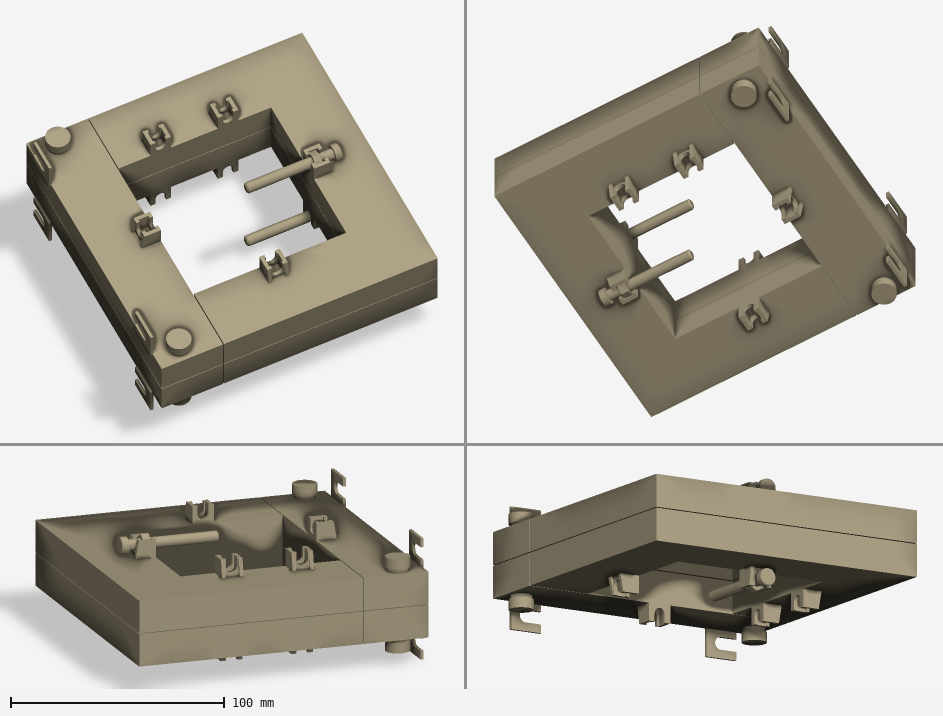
import cadquery as cq
import math

ring_side = 144.0
leg_width = 32.0
ring_height = 32.0
parting_gap = 0.5
outer = ring_side / 2
window = outer - leg_width
half_height = ring_height / 2
half_bottom = parting_gap / 2

clip_height = 8.7
clip_side_wall = 1.9
clip_inner_wall = 1.7
clip_outer_wall = 1.7
clip_pocket_depth = 5.1
clip_depth = clip_inner_wall + clip_pocket_depth + clip_outer_wall
clip_foot_depth = 10.2
wide_pocket = 8.1
narrow_pocket = 7.0
side_clip_offset = 17.5
slot_width = 5.5
slot_axis_height = 4.6

screw_diameter = 5.4
screw_axis_height = 5.5
screw_head_diameter = 8.4
screw_head_length = 3.5
screw_head_end = 56.0
screw_tip = 7.1
head_chamfer = 0.5
tip_chamfer = 0.7
nut_thickness = 3.8
nut_corner_diameter = wide_pocket / math.cos(math.pi / 6)

knob_diameter = 11.9
knob_neck_diameter = 10.5
knob_neck_height = 2.0
knob_head_height = 5.0
knob_x = 64.4
knob_y = -59.3

terminal_width = 16.5
terminal_height = 15.2
terminal_bevel_rise = 1.2
terminal_thickness = 1.5
terminal_projection = 1.0
terminal_span = 59.0
terminal_top = terminal_span / 2
terminal_center_x = 54.0
terminal_slot_width = 6.1
terminal_slot_depth = 11.7
terminal_slot_from_top = 7.2


def make_clip(pocket_width):
    """Clip standing on z = 0 with its inner face at x = 0, reaching toward +X."""
    width = pocket_width + 2 * clip_side_wall
    flank_profile = [
        (0, 0),
        (clip_foot_depth, 0),
        (clip_depth, clip_height),
        (0, clip_height),
    ]
    clip = cq.Workplane("XZ").polyline(flank_profile).close().extrude(width / 2, both=True)

    pocket = cq.Workplane("XY").box(
        clip_pocket_depth, pocket_width, clip_height, centered=(False, True, False)
    ).translate((clip_inner_wall, 0, 0))

    setback = cq.Workplane("XY").box(
        clip_foot_depth - clip_depth, pocket_width, clip_height, centered=(False, True, False)
    ).translate((clip_depth, 0, 0))

    slot = (
        cq.Workplane("YZ")
        .moveTo(-slot_width / 2, clip_height)
        .lineTo(-slot_width / 2, slot_axis_height)
        .threePointArc((0, slot_axis_height - slot_width / 2), (slot_width / 2, slot_axis_height))
        .lineTo(slot_width / 2, clip_height)
        .close()
        .extrude(clip_foot_depth)
    )
    return clip.cut(pocket).cut(setback).cut(slot)


def place_clip(pocket_width, direction, x, y):
    """Clip on top of the ring, reaching in the given direction (degrees from +X)."""
    clip = make_clip(pocket_width).rotate((0, 0, 0), (0, 0, 1), direction)
    return clip.translate((x, y, half_height))


def make_screw():
    """Screw along Y with its nut resting on the inner wall of the +Y clip."""
    axis_z = half_height + screw_axis_height

    def plane_at(y):
        """Plane across the screw axis, facing -Y."""
        return cq.Workplane("XZ", origin=(0, y, axis_z))

    head = (
        plane_at(screw_head_end)
        .circle(screw_head_diameter / 2)
        .extrude(screw_head_length)
        .faces(">Y").chamfer(head_chamfer)
    )
    shank = (
        plane_at(screw_head_end - screw_head_length)
        .circle(screw_diameter / 2)
        .extrude(screw_head_end - screw_head_length - screw_tip)
        .faces("<Y").chamfer(tip_chamfer)
    )
    nut = (
        plane_at(window + clip_inner_wall + nut_thickness)
        .transformed(rotate=(0, 0, 90))
        .polygon(6, nut_corner_diameter)
        .extrude(nut_thickness)
    )
    return head.union(shank).union(nut)


def make_knob(x):
    """Round knob on a slightly narrower neck, standing on top of the bar."""
    neck = cq.Workplane("XY").circle(knob_neck_diameter / 2).extrude(knob_neck_height)
    head = (
        cq.Workplane("XY", origin=(0, 0, knob_neck_height))
        .circle(knob_diameter / 2)
        .extrude(knob_head_height)
    )
    return neck.union(head).translate((x, knob_y, half_height))


def make_terminal(center_x):
    """Upright plate let into the -Y face, with a bevelled foot and a slot open toward -X."""
    left = center_x - terminal_width / 2
    front = -outer - terminal_projection
    back = front + terminal_thickness
    foot = terminal_top - terminal_height
    plate_profile = [
        (front, terminal_top),
        (back, terminal_top),
        (back, foot),
        (front, foot + terminal_bevel_rise),
    ]
    plate = (
        cq.Workplane("YZ", origin=(left, 0, 0))
        .polyline(plate_profile)
        .close()
        .extrude(terminal_width)
    )

    slot_radius = terminal_slot_width / 2
    slot_z = terminal_top - terminal_slot_from_top
    arc_start = left + terminal_slot_depth - slot_radius
    slot = (
        cq.Workplane("XZ", origin=(0, back, 0))
        .moveTo(left, slot_z - slot_radius)
        .lineTo(arc_start, slot_z - slot_radius)
        .threePointArc((left + terminal_slot_depth, slot_z), (arc_start, slot_z + slot_radius))
        .lineTo(left, slot_z + slot_radius)
        .close()
        .extrude(terminal_thickness)
    )
    return plate.cut(slot)


def make_upper_yoke():
    """Upper half of the three-legged yoke, with its clips and clamping screw."""
    leg_end = parting_gap - window
    yoke_outline = [
        (-outer, leg_end),
        (-outer, outer),
        (outer, outer),
        (outer, leg_end),
        (window, leg_end),
        (window, window),
        (-window, window),
        (-window, leg_end),
    ]
    yoke = (
        cq.Workplane("XY", origin=(0, 0, half_bottom))
        .polyline(yoke_outline)
        .close()
        .extrude(half_height - half_bottom)
    )
    for y in (-side_clip_offset, side_clip_offset):
        yoke = yoke.union(place_clip(narrow_pocket, 180, -window, y))
    yoke = yoke.union(place_clip(narrow_pocket, 0, window, 0))
    yoke = yoke.union(place_clip(wide_pocket, 90, 0, window))
    return yoke.union(make_screw())


def make_upper_bar():
    """Upper half of the bar closing the ring, with its clip, knobs and terminals."""
    bar = cq.Workplane("XY").box(
        ring_side, leg_width, half_height - half_bottom, centered=(True, False, False)
    ).translate((0, -outer, half_bottom))
    bar = bar.union(place_clip(wide_pocket, -90, 0, -window))
    for side in (-1, 1):
        bar = bar.union(make_knob(side * knob_x))
        bar = bar.union(make_terminal(side * terminal_center_x))
    return bar


upper_yoke = make_upper_yoke()
lower_yoke = upper_yoke.mirror("XY")
upper_bar = make_upper_bar()
lower_bar = upper_bar.mirror("XY")

result = cq.Compound.makeCompound(
    [half.solids().val() for half in (upper_yoke, lower_yoke, upper_bar, lower_bar)]
)